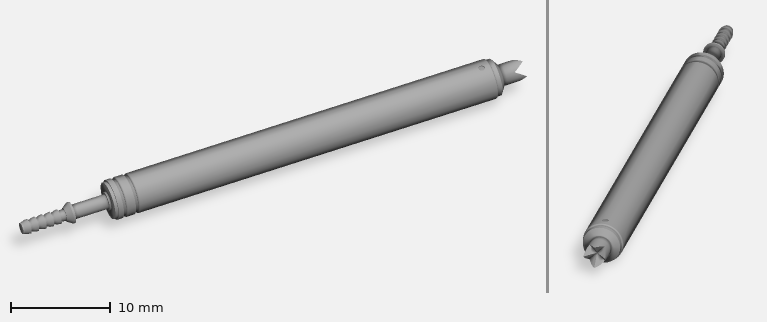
import cadquery as cq
import math

total_length = 54.4
body_diameter = 4.2
body_radius = body_diameter / 2

crown_radius = 1.115
crown_length = 2.5
crown_notch_depth = 1.2

body_length = 42.5
edge_rounding = 0.15
neck_radius = body_radius - edge_rounding
nose_radius = 1.25
nose_taper_length = 0.5
neck_length = 0.5
end_step_length = 0.3

groove_count = 2
groove_width = 0.5
groove_pitch = 1.3
first_groove_offset = 0.85

dimple_diameter = 0.65
dimple_depth = 0.1
dimple_from_nose = 1.95

rod_radius = 0.75
collar_radius = 1.0
collar_length = 0.2
flange_radius = 1.115
flange_start = 5.3
flange_length = 0.2
flange_taper_length = 0.6
flange_taper_radius = 0.7

core_radius = 0.6
barb_count = 5
barb_length = 0.65
barb_pitch = 0.8
first_barb_start = 0.15

body_start = total_length - crown_length - body_length
body_end = body_start + body_length


def cone(start, length, start_radius, end_radius):
    """Solid cone about Y whose radius goes from start_radius to end_radius."""
    end = start + length
    profile = cq.Workplane("XY").moveTo(0, start).lineTo(start_radius, start).lineTo(end_radius, end)
    return profile.lineTo(0, end).close().revolve(360, (0, 0, 0), (0, 1, 0))


def cylinder(start, length, radius):
    return cone(start, length, radius, radius)


def groove(start):
    """Ring to cut from the barrel, leaving a rounded barrel edge on its crown side."""
    floor_radius = body_radius - edge_rounding
    arc_start = start + groove_width - edge_rounding
    half_chord = edge_rounding * math.sqrt(0.5)
    arc_middle = (floor_radius + half_chord, start + groove_width - half_chord)
    profile = (
        cq.Workplane("XY")
        .moveTo(body_radius, start)
        .lineTo(floor_radius, start)
        .lineTo(floor_radius, arc_start)
        .threePointArc(arc_middle, (body_radius, start + groove_width))
        .close()
    )
    return profile.revolve(360, (0, 0, 0), (0, 1, 0))


def make_body():
    taper_start = body_end - nose_taper_length
    neck_start = taper_start - neck_length
    barrel_start = body_start + end_step_length
    barrel = cylinder(barrel_start, neck_start - barrel_start, body_radius)
    barrel = barrel.faces(">Y").edges().fillet(edge_rounding)
    for index in range(groove_count):
        barrel = barrel.cut(groove(body_start + first_groove_offset + index * groove_pitch))
    dimple_floor = body_radius - dimple_depth
    dimple = cq.Workplane("XY", origin=(0, body_end - dimple_from_nose, dimple_floor))
    barrel = barrel.cut(dimple.circle(dimple_diameter / 2).extrude(body_radius))
    core = cylinder(body_start, taper_start - body_start, neck_radius)
    nose = cone(taper_start, nose_taper_length, neck_radius, nose_radius)
    return barrel.union(core).union(nose)


def make_crown():
    """Two crossing V notches leave points toward +X, -X, +Z and -Z."""
    crown = cylinder(body_end, crown_length, crown_radius)
    half_width = crown_radius * math.sqrt(0.5)
    notch = (
        cq.Workplane("XY")
        .moveTo(-half_width, total_length)
        .lineTo(0, total_length - crown_notch_depth)
        .lineTo(half_width, total_length)
        .close()
        .extrude(crown_radius, both=True)
    )
    for angle in (45, -45):
        crown = crown.cut(notch.rotate((0, 0, 0), (0, 1, 0), angle))
    return crown


def make_rod():
    taper_start = flange_start - flange_taper_length
    rod_start = flange_start + flange_length
    rod = cone(taper_start, flange_taper_length, flange_taper_radius, flange_radius)
    rod = rod.union(cylinder(flange_start, flange_length, flange_radius))
    rod = rod.union(cylinder(rod_start, body_start - rod_start, rod_radius))
    return rod.union(cylinder(body_start - collar_length, collar_length, collar_radius))


def barb(start):
    """Ring that ends in a square shoulder, with an arc falling away from it toward the tip."""
    rise = rod_radius - core_radius
    arc_radius = (barb_length ** 2 + rise ** 2) / (2 * rise)
    shoulder = start + barb_length
    arc_drop = arc_radius - math.sqrt(arc_radius ** 2 - (barb_length / 2) ** 2)
    profile = (
        cq.Workplane("XY")
        .moveTo(0, start)
        .lineTo(core_radius, start)
        .threePointArc((rod_radius - arc_drop, start + barb_length / 2), (rod_radius, shoulder))
        .lineTo(0, shoulder)
        .close()
    )
    return profile.revolve(360, (0, 0, 0), (0, 1, 0))


def make_tail():
    tail = cylinder(0, flange_start, core_radius)
    for index in range(barb_count):
        tail = tail.union(barb(first_barb_start + index * barb_pitch))
    return tail


result = make_body().union(make_crown()).union(make_rod()).union(make_tail())